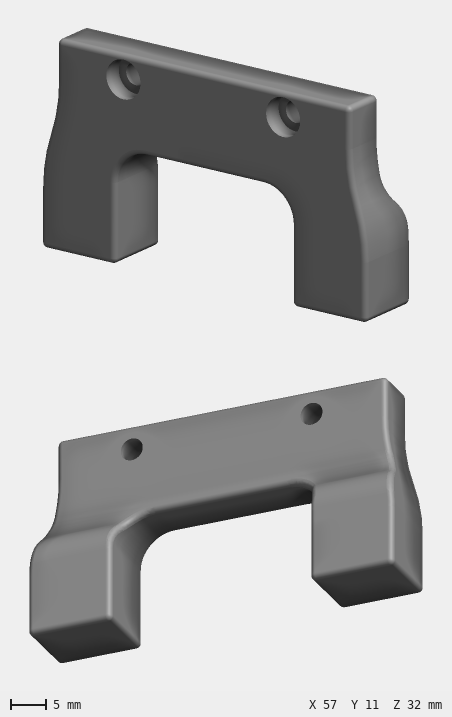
import cadquery as cq
import math

length = 57.0
height = 32.0
leg_depth = 11.0
bar_depth = 7.0

side_step = 2.8
side_radius = 25.0
side_curve_start = 9.1
leg_width = 13.0
arch_height = 17.5
arch_radius = 5.25

back_radius = 6.0
back_curve_start = 11.25

hole_offset = 14.0
hole_drop = 3.75
hole_diameter = 3.4
bore_diameter = 6.0
bore_depth = 3.0

edge_radius = 0.8


def s_curve(radius, step):
    """Return an arc midpoint as (inset, lift), and the total rise, of two equal tangent arcs."""
    rise = math.sqrt(4 * radius * step - step**2)
    half_angle = math.asin(rise / (2 * radius)) / 2
    inset = radius * (1 - math.cos(half_angle))
    return inset, radius * math.sin(half_angle), rise


def body_outline():
    """Extrude the front outline, with its legs and S-curved sides, toward +Y."""
    half = length / 2
    top_half = half - side_step
    inset, lift, rise = s_curve(side_radius, side_step)
    curve_end = side_curve_start + rise
    middle = (half - side_step / 2, side_curve_start + rise / 2)
    inner = half - leg_width
    outline = (
        cq.Workplane("XZ")
        .moveTo(0, height)
        .lineTo(top_half, height)
        .lineTo(top_half, curve_end)
        .threePointArc((top_half + inset, curve_end - lift), middle)
        .threePointArc((half - inset, side_curve_start + lift), (half, side_curve_start))
        .lineTo(half, 0)
        .lineTo(inner, 0)
        .lineTo(inner, arch_height - arch_radius)
        .radiusArc((inner - arch_radius, arch_height), -arch_radius)
        .lineTo(0, arch_height)
        .mirrorY()
    )
    return outline.extrude(-leg_depth)


def depth_profile():
    """Extrude the side outline, with its S-curved back, along X."""
    step = leg_depth - bar_depth
    inset, lift, rise = s_curve(back_radius, step)
    curve_end = back_curve_start + rise
    middle = (leg_depth - step / 2, back_curve_start + rise / 2)
    return (
        cq.Workplane("YZ")
        .moveTo(0, 0)
        .lineTo(leg_depth, 0)
        .lineTo(leg_depth, back_curve_start)
        .threePointArc((leg_depth - inset, back_curve_start + lift), middle)
        .threePointArc((bar_depth + inset, curve_end - lift), (bar_depth, curve_end))
        .lineTo(bar_depth, height)
        .lineTo(0, height)
        .close()
        .extrude(length / 2, both=True)
    )


def screw_holes():
    """Cutters for the through holes and their front counterbores."""
    hole_height = height - hole_drop
    centers = [(-hole_offset, hole_height), (hole_offset, hole_height)]
    front = cq.Workplane("XZ").pushPoints(centers)
    through = front.circle(hole_diameter / 2).extrude(-leg_depth)
    bores = front.circle(bore_diameter / 2).extrude(-bore_depth)
    return through.union(bores)


def sharp_edges(solid):
    """Select the edges where the two adjoining faces meet at an angle."""
    min_angle = math.radians(10)
    faces_at = {}
    for face in solid.Faces():
        for edge in face.Edges():
            faces_at.setdefault(edge.hashCode(), (edge, []))[1].append(face)
    chosen = []
    for edge, faces in faces_at.values():
        point = edge.positionAt(0.5)
        normals = [face.normalAt(point) for face in faces]
        if normals[0].getAngle(normals[1]) > min_angle:
            chosen.append(edge)
    return chosen


body = body_outline().intersect(depth_profile())
rounded = body.newObject(sharp_edges(body.val())).fillet(edge_radius)
result = rounded.cut(screw_holes())